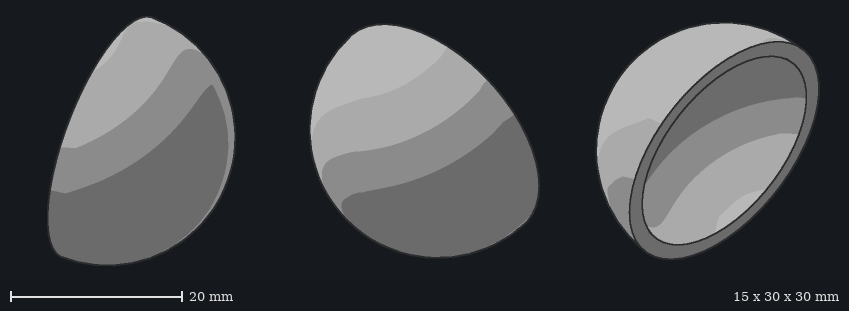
import cadquery as cq

outer_diameter = 30.0
wall_thickness = 2.0

outer_radius = outer_diameter / 2
inner_radius = outer_radius - wall_thickness


def hemisphere(radius):
    """Solid half ball with its flat face on X = 0 and its crown at X = radius."""
    quarter_disc = (
        cq.Workplane("XY")
        .lineTo(radius, 0)
        .radiusArc((0, radius), -radius)
        .close()
    )
    return quarter_disc.revolve(360, (0, 0, 0), (1, 0, 0))


result = hemisphere(outer_radius).cut(hemisphere(inner_radius))